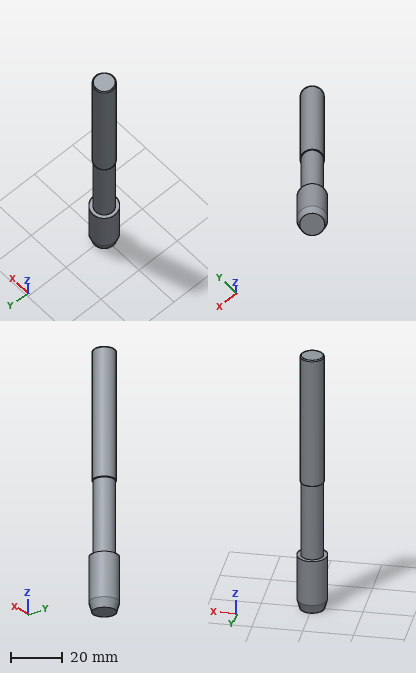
import cadquery as cq

overall_length = 110.0
head_diameter = 12.0
head_length = 23.1
tip_diameter = 9.7
lead_length = 4.0
shank_diameter = 9.4
shank_length = 55.0
neck_diameter = 8.8
end_chamfer = 0.4

head_radius = head_diameter / 2
tip_radius = tip_diameter / 2
shank_radius = shank_diameter / 2
neck_radius = neck_diameter / 2
shank_base = overall_length - shank_length
step_height = shank_radius - neck_radius


def turn(half_profile):
    """Revolve a closed (radius, height) outline about the Z axis."""
    return cq.Workplane("XZ").polyline(half_profile).close().revolve(360, (0, 0, 0), (0, 1, 0))


def make_head():
    """Cylindrical head with a tapered lead at its lower end."""
    return turn([
        (0, 0),
        (tip_radius, 0),
        (head_radius, lead_length),
        (head_radius, head_length),
        (0, head_length),
    ])


def make_shaft():
    """Slim neck standing on the head, widening by a short cone into the chamfered shank."""
    return turn([
        (0, head_length),
        (neck_radius, head_length),
        (neck_radius, shank_base),
        (shank_radius, shank_base + step_height),
        (shank_radius, overall_length - end_chamfer),
        (shank_radius - end_chamfer, overall_length),
        (0, overall_length),
    ])


head = make_head()
shaft = make_shaft()

result = cq.Compound.makeCompound([head.val(), shaft.val()])